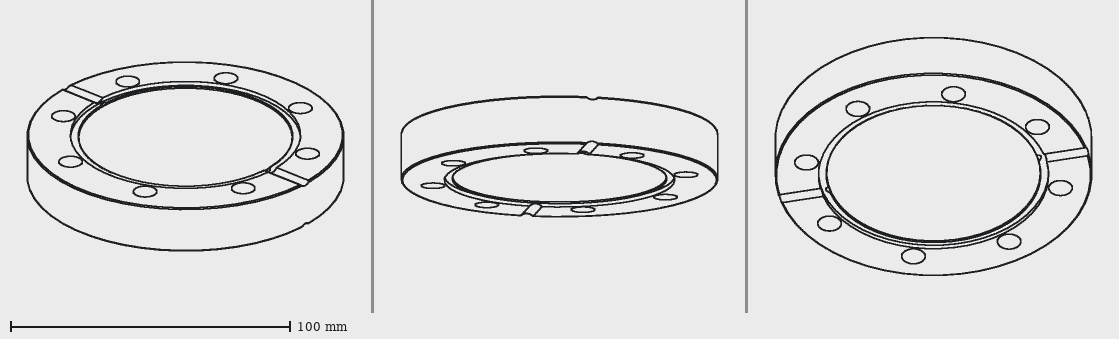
import cadquery as cq
import math

outer_diameter = 113.5
thickness = 17.5
edge_chamfer = 0.5

bolt_count = 8
bolt_circle_diameter = 92.2
bolt_hole_diameter = 8.4

recess_diameter = 82.5
knife_tip_diameter = 77.0
knife_inner_diameter = 76.5
recess_depth = 1.6
knife_slope = 20
inner_floor_depth = 1.1

groove_width = 4.5
groove_depth = 1.0

outer_radius = outer_diameter / 2
half_thickness = thickness / 2


def make_body():
    """Disc centred on the origin with both rims chamfered."""
    disc = cq.Workplane("XY").circle(outer_radius).extrude(half_thickness, both=True)
    return disc.faces("|Z").edges().chamfer(edge_chamfer)


def make_bolt_holes():
    return (
        cq.Workplane("XY")
        .polarArray(bolt_circle_diameter / 2, 180 / bolt_count, 360, bolt_count)
        .circle(bolt_hole_diameter / 2)
        .extrude(thickness, both=True)
    )


def make_recess():
    """Upper recess; its floor rises inward to the knife tip, then drops to the inner floor."""
    recess_radius = recess_diameter / 2
    tip_radius = knife_tip_diameter / 2
    tip_rise = (recess_radius - tip_radius) * math.tan(math.radians(knife_slope))
    top = half_thickness
    floor = top - recess_depth
    inner_floor = top - inner_floor_depth
    return (
        cq.Workplane("XZ")
        .moveTo(0, top)
        .lineTo(recess_radius, top)
        .lineTo(recess_radius, floor)
        .lineTo(tip_radius, floor + tip_rise)
        .lineTo(knife_inner_diameter / 2, inner_floor)
        .lineTo(0, inner_floor)
        .close()
        .revolve(360, (0, 0), (0, 1))
    )


def make_groove():
    """Groove across the whole upper face; the recess removes its middle."""
    radius = ((groove_width / 2) ** 2 + groove_depth ** 2) / (2 * groove_depth)
    axis_height = half_thickness - groove_depth + radius
    return cq.Workplane("YZ").center(0, axis_height).circle(radius).extrude(outer_radius, both=True)


upper_cuts = make_groove().union(make_recess())
lower_cuts = upper_cuts.mirror("XY")
result = make_body().cut(make_bolt_holes()).cut(upper_cuts).cut(lower_cuts)